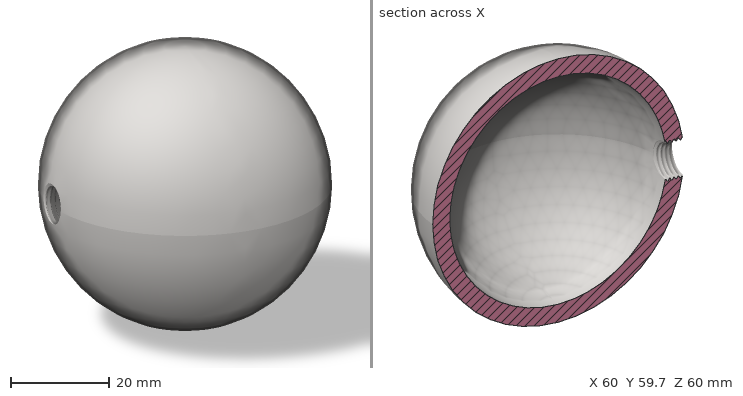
import cadquery as cq
import math

ball_diameter = 60.0
wall = 4.2
outer_radius = ball_diameter / 2
inner_radius = outer_radius - wall

thread_major_diameter = 9.0
thread_minor_diameter = 7.9
thread_pitch = 1.0
major_radius = thread_major_diameter / 2
minor_radius = thread_minor_diameter / 2
root_share = 0.25
mouth_share = 0.8
groove_root_width = root_share * thread_pitch
groove_mouth_width = mouth_share * thread_pitch
groove_overlap = 0.1
start_angle = 5.0
hole_seam_angle = 50.0

run_out_turns = 1.4
run_out = run_out_turns * thread_pitch
cutter_start = outer_radius + run_out
cutter_end = math.sqrt(inner_radius**2 - major_radius**2) - run_out
cutter_length = cutter_start - cutter_end


def half_shell(pole_side):
    """Revolve a quarter ring about Z; pole_side is 1 for the upper half and -1 for the lower."""
    outer_mid = outer_radius * math.sqrt(0.5)
    inner_mid = inner_radius * math.sqrt(0.5)
    return (
        cq.Workplane("XZ")
        .moveTo(outer_radius, 0)
        .threePointArc((outer_mid, pole_side * outer_mid), (0, pole_side * outer_radius))
        .lineTo(0, pole_side * inner_radius)
        .threePointArc((inner_mid, pole_side * inner_mid), (inner_radius, 0))
        .close()
        .revolve(360, (0, 0), (0, 1))
    )


def along_hole(cutter):
    """Turn a cutter built upwards from the origin so that it runs inward along +Y."""
    return cutter.rotate((0, 0, 0), (1, 0, 0), -90).translate((0, -cutter_start, 0))


def plain_hole():
    """Cut cylinder, turned so that its seam line stays clear of the ball's equator."""
    cylinder = cq.Workplane("XY").circle(minor_radius).extrude(cutter_length)
    return along_hole(cylinder.rotate((0, 0, 0), (0, 0, 1), hole_seam_angle))


def thread_groove():
    """Sweep a trapezoid along a right-hand helix."""
    helix = cq.Wire.makeHelix(thread_pitch, cutter_length, minor_radius)
    flank_slope = (groove_mouth_width - groove_root_width) / (major_radius - minor_radius)
    inside_width = groove_mouth_width + flank_slope * groove_overlap
    groove = (
        cq.Workplane("XZ")
        .moveTo(minor_radius - groove_overlap, -inside_width / 2)
        .lineTo(major_radius, -groove_root_width / 2)
        .lineTo(major_radius, groove_root_width / 2)
        .lineTo(minor_radius - groove_overlap, inside_width / 2)
        .close()
        .sweep(cq.Workplane(obj=helix), isFrenet=True)
    )
    return along_hole(groove.rotate((0, 0, 0), (0, 0, 1), start_angle))


ball = half_shell(1).union(half_shell(-1), clean=False)
threaded_hole = plain_hole().union(thread_groove())
result = ball.cut(threaded_hole, clean=False)